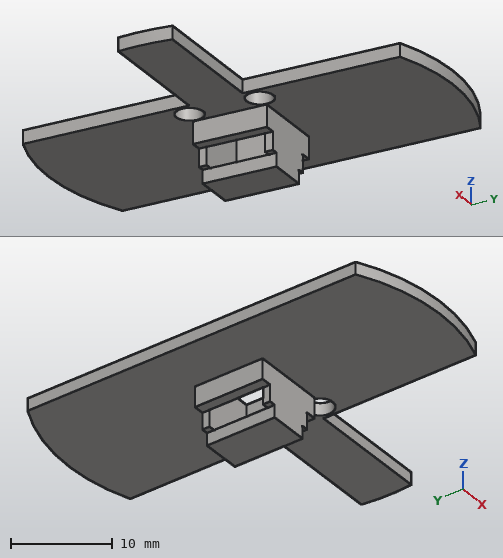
import cadquery as cq

disc_radius = 22.65
plate_thickness = 1.5
body_left_x = -10.43
body_right_x = 8.02
tail_width = 6.05
tail_center_y = 0.5

hole_diameter = 3.0
hole_spacing = 7.9
hole_x = 6.2

bracket_center_x = 0.25
bracket_center_y = 0.2
window_length_x = 6.1
window_width_y = 6.57
wall_thickness_y = 0.85
collar_length_x = 8.6
collar_depth = 2.45
bar_length_x = 4.62
bar_height = 1.5
bracket_depth = 5.95

bracket_width_y = window_width_y + 2 * wall_thickness_y
leg_depth = bracket_depth - bar_height


def bracket_block(length_x, width_y, top_z, bottom_z):
    """Box centred on the bracket axis between two heights."""
    return (
        cq.Workplane("XY", origin=(bracket_center_x, bracket_center_y, bottom_z))
        .rect(length_x, width_y)
        .extrude(top_z - bottom_z)
    )


def make_plate():
    """Disc segment body with a tail that reaches the disc rim."""
    body = cq.Workplane("XY").box(
        body_right_x - body_left_x, 2 * disc_radius, plate_thickness, centered=(False, True, False)
    ).translate((body_left_x, 0, 0))
    tail = cq.Workplane("XY").box(
        disc_radius, tail_width, plate_thickness, centered=(False, True, False)
    ).translate((0, tail_center_y, 0))
    disc = cq.Workplane("XY").circle(disc_radius).extrude(plate_thickness)
    return disc.intersect(body.union(tail))


def make_holes():
    """Cutters for the two round holes, placed either side of the tail axis."""
    return (
        cq.Workplane("XY")
        .pushPoints([(hole_x, tail_center_y + side * hole_spacing / 2) for side in (-1, 1)])
        .circle(hole_diameter / 2)
        .extrude(plate_thickness)
    )


collar = bracket_block(collar_length_x, bracket_width_y, 0, -collar_depth)
legs = bracket_block(window_length_x, bracket_width_y, 0, -leg_depth)
window = bracket_block(window_length_x, window_width_y, plate_thickness, -leg_depth)
bar = bracket_block(bar_length_x, bracket_width_y, -leg_depth, -bracket_depth)

result = make_plate().cut(make_holes()).union(collar).union(legs).cut(window).union(bar)